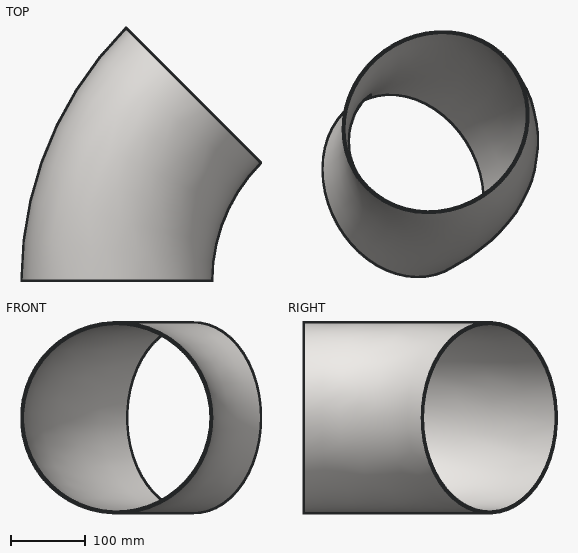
import cadquery as cq

outer_diameter = 255.0
wall_thickness = 2.5
bend_radius = 350.0
bend_angle = 45.0

outer_radius = outer_diameter / 2
inner_radius = outer_radius - wall_thickness


def pipe_elbow():
    """Ring in the XZ plane, centred on the origin, swept toward +Y and bent toward +X."""
    ring = cq.Workplane("XZ").circle(outer_radius).circle(inner_radius)
    bend_axis_start = (bend_radius, 0)
    bend_axis_end = (bend_radius, -1)
    return ring.revolve(bend_angle, bend_axis_start, bend_axis_end)


result = pipe_elbow()